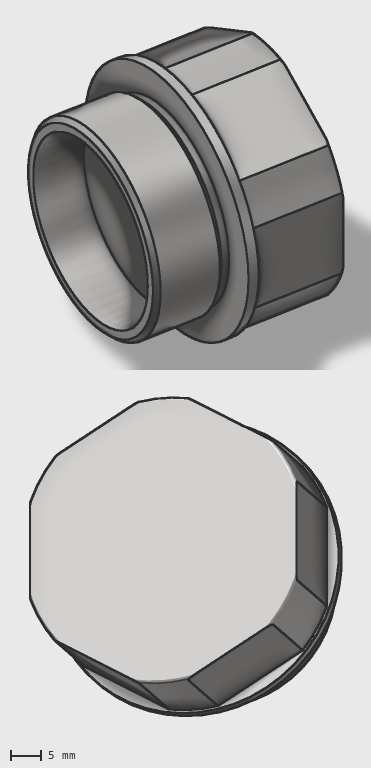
import cadquery as cq

spigot_length = 15.0
flange_thickness = 2.0
hex_length = 18.0
relief_width = 1.5
bore_depth = 10.0

flange_diameter = 50.0
spigot_diameter = 40.0
relief_diameter = 38.15
bore_diameter = 35.0
across_flats = 46.0
hex_corner_diameter = 49.0
hex_rounding = 0.5

spigot_chamfer = (spigot_diameter - relief_diameter) / 2
flange_start = spigot_length
hex_start = flange_start + flange_thickness
total_length = hex_start + hex_length


def section_plane(y):
    """Plane across the part at y, facing +Y, with its local x along X."""
    return cq.Plane(origin=(0, y, 0), xDir=(1, 0, 0), normal=(0, 1, 0))


def cylinder(diameter, y, length):
    return cq.Workplane(section_plane(y)).circle(diameter / 2).extrude(length)


def make_spigot():
    """Chamfered cylinder standing on a narrower relief neck."""
    body = cylinder(spigot_diameter, 0, spigot_length - relief_width)
    body = body.edges().chamfer(spigot_chamfer)
    neck = cylinder(relief_diameter, spigot_length - relief_width, relief_width)
    return body.union(neck)


def make_hex_head():
    """Hexagon with corners along Z, turned down to a cylinder with a rounded end."""
    hexagon = (
        cq.Workplane(section_plane(hex_start))
        .polygon(6, across_flats, circumscribed=True)
        .extrude(hex_length)
    )
    turned = cylinder(hex_corner_diameter, hex_start, hex_length)
    turned = turned.faces(">Y").edges().fillet(hex_rounding)
    return hexagon.intersect(turned)


flange = cylinder(flange_diameter, flange_start, flange_thickness)
bore = cylinder(bore_diameter, 0, bore_depth)

result = make_spigot().union(flange).union(make_hex_head()).cut(bore)
result = result.translate((0, -total_length / 2, 0))